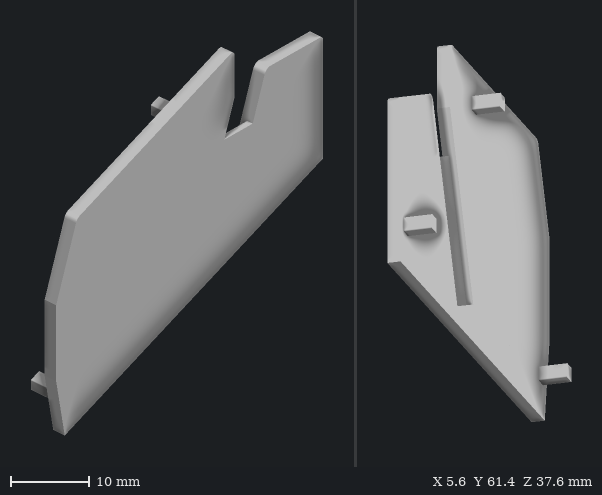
import cadquery as cq
import math

length = 61.4
height = 37.6
plate_thickness = 1.8
corner_radius = 1.0

lean = math.radians(22.1)
slot_width = 7.05
slot_kink_y = 41.0
slot_kink_z = 28.75
slot_length_from_kink = 25.5
open_length_from_kink = 6.2
pocket_depth = 0.9

high_y_edge_height = 22.6
low_y_edge_bottom = 11.65
low_y_edge_top = 25.7
foot_inset = 1.95

pin_size = 1.95
pin_length = 3.8
pin_edge_radius = 0.2
low_pin_z = 5.6
pin_centers = [(59.1, low_pin_z), (3.5, low_pin_z), (31.05, 32.6)]


def slot_point(down, across):
    """Point measured down the slot from the kink and across towards +Y."""
    y = slot_kink_y - down * math.sin(lean) + across * math.cos(lean)
    z = slot_kink_z - down * math.cos(lean) - across * math.sin(lean)
    return (y, z)


def notch_peak():
    """Corner where the slot wall meets the sloped edge perpendicular to it."""
    wall_y, wall_z = slot_point(0, slot_width)
    rise = (high_y_edge_height - wall_z) * math.cos(lean) + (length - wall_y) * math.sin(lean)
    return slot_point(-rise, slot_width)


def make_plate():
    peak = notch_peak()
    top_high_y = (slot_kink_y, height)
    top_low_y = ((height - low_y_edge_top) * math.tan(lean), height)
    high_y_shoulder = (length, high_y_edge_height)
    outline = [
        (foot_inset, 0),
        (length, 0),
        high_y_shoulder,
        peak,
        slot_point(open_length_from_kink, slot_width),
        slot_point(open_length_from_kink, 0),
        (slot_kink_y, slot_kink_z),
        top_high_y,
        top_low_y,
        (0, low_y_edge_top),
        (0, low_y_edge_bottom),
    ]
    plate = cq.Workplane("YZ").polyline(outline).close().extrude(plate_thickness)
    for y, z in (high_y_shoulder, peak, top_high_y, top_low_y):
        corner = cq.selectors.NearestToPointSelector((plate_thickness / 2, y, z))
        plate = plate.edges("|X").edges(corner).fillet(corner_radius)
    return plate


def make_pocket():
    """Shallow continuation of the slot, open at its upper end."""
    corners = [
        slot_point(open_length_from_kink, 0),
        slot_point(open_length_from_kink, slot_width),
        slot_point(slot_length_from_kink, slot_width),
        slot_point(slot_length_from_kink, 0),
    ]
    return cq.Workplane("YZ").polyline(corners).close().extrude(pocket_depth)


def make_pins():
    pins = cq.Workplane("YZ").pushPoints(pin_centers).rect(pin_size, pin_size).extrude(-pin_length)
    return pins.edges("|X").fillet(pin_edge_radius)


result = make_plate().cut(make_pocket()).union(make_pins())